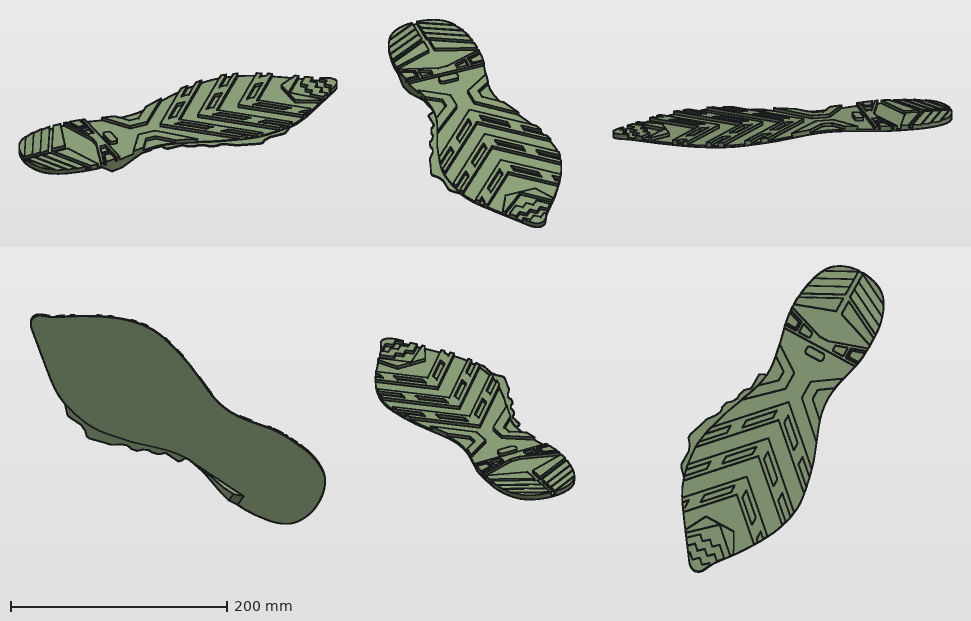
import cadquery as cq
import math

LENGTH = 320.0
BASE_THICKNESS = 2.0
TREAD_HEIGHT = 3.0
TOP = BASE_THICKNESS + TREAD_HEIGHT
WING_THICKNESS = 1.0
BEYOND = 96.0
SIDES = (-1, 1)

HEEL_TIP = (0.0, 0.0)
TOE_TIP = (0.0, LENGTH)
RIGHT_EDGE = [
    (14.5, 2.2), (26.5, 9.3), (33.5, 19.8), (37.8, 33.5), (40.3, 55.7), (39.0, 72.0), (34.2, 93.5), (30.7, 112.5),
    (30.0, 122.5), (33.0, 141.0), (38.7, 157.0), (46.0, 176.0), (51.0, 192.5), (54.7, 211.2), (54.7, 225.5),
    (52.5, 241.0), (47.0, 258.0), (36.5, 275.5), (23.0, 294.5), (11.5, 310.5), (5.5, 317.7),
]
LEFT_EDGE = [
    (-5.5, 317.7), (-9.5, 310.5), (-20.8, 294.5), (-36.5, 272.0), (-47.0, 252.8), (-53.0, 234.8), (-55.0, 218.8),
    (-53.0, 202.5), (-46.5, 175.0), (-35.8, 147.2), (-31.5, 132.0), (-30.0, 120.0), (-31.0, 107.2), (-35.0, 90.5),
    (-39.0, 72.3), (-40.0, 55.7), (-38.7, 34.2), (-34.2, 19.8), (-27.2, 9.3), (-14.5, 2.2),
]

WING_EDGE = [
    (51.0, 247.5), (57.5, 240.5), (59.0, 238.0), (59.0, 224.0), (61.5, 217.5), (65.3, 213.0), (65.3, 209.5),
    (61.0, 197.0), (59.0, 189.7), (53.0, 182.0), (51.2, 178.0), (51.2, 174.0), (51.8, 173.0), (50.2, 167.0),
    (46.0, 163.2), (43.5, 158.7), (43.5, 154.5), (41.5, 148.8), (36.8, 144.3), (36.8, 129.5),
    (35.0, 128.0), (31.7, 126.7),
]
WING_INNER_EDGE = [(25.5, 126.7), (25.5, 247.5)]

KEEL_INNER_TOP_X = 30.0
KEEL_INNER_BOTTOM_X = 31.7
KEEL_DEPTH = 7.7
KEEL_TIP_DEPTH = 1.0
KEEL_PROFILE = [
    (60.8, 0.0), (71.5, -KEEL_DEPTH), (82.5, -KEEL_DEPTH), (105.0, -KEEL_TIP_DEPTH), (116.5, -KEEL_TIP_DEPTH),
    (116.5, 0.0),
]

TOE_PAD_CENTRE_X = 0.3
ZIGZAG_CENTRE_X = 1.3
ZIGZAG_PITCH = 10.2
ZIGZAG_HEIGHT = 4.8
ZIGZAG_VALLEYS = (307.0, 297.5, 287.5)
TOE_PAD_BOTTOM = 270.5
TOE_PAD_HALF_BOTTOM = 14.7
TOE_PAD_FLARE = 1.9
TOE_PAD_V_SLOPE = 0.92
TOE_PAD_BRIDGE = 0.5

CHEVRON_APEXES = (238.7, 197.5, 158.7)
CHEVRON_HEIGHT = 19.2
CHEVRON_SLOPES = {-1: 0.91, 1: 1.08}
CHEVRON_POCKET_INSET = 5.5
CHEVRON_POCKET_HEIGHT = 7.7
CHEVRON_POCKET_SPANS = ((5.8, 26.0), (36.0, BEYOND))

BRACKET_INNER = (8.5, 130.0, 113.0)
BRACKET_OUTER = (18.0, 126.0, 116.5)
BRACKET_UPPER_SLOPE = 0.94
BRACKET_LOWER_SLOPE = 0.69

STUD_CENTRE = (0.5, 88.0)
STUD_LENGTH = 18.2
STUD_WIDTH = 7.7
STUD_CORNER = 3.0

BAR_TOP = 80.3
BAR_BOTTOM = 71.7
BAR_FLAT_HALF = 4.5
BAR_SLOPE = 0.33
BAR_POCKET_TOP = 77.5
BAR_POCKET_SPAN = (12.0, 23.5)
BAR_NOTCH_START = 26.0
BAR_RIM = 3.0
ISLAND_START = 27.8
ISLAND_TOP = 75.5
ISLAND_RIM = 5.0

BLADE_INNER_X = 3.0
BLADE_TOP = 43.5
BLADE_TOP_SLOPE = 0.35
BLADE_BOTTOM = 29.8
HEEL_SLOPE = 0.52
REAR_INNER_X = {-1: 2.0, 1: 3.0}
REAR_TOP = 25.5
REAR_LAST_STEP = 1.3
STEP_COUNT = 3
STEP_DROP = 0.8


def prism(points, bottom, top):
    """Vertical prism with a polygonal outline."""
    return cq.Workplane("XY").workplane(offset=bottom).polyline(points).close().extrude(top - bottom)


def tread(points):
    """Tread block standing on the base."""
    return prism(points, BASE_THICKNESS, TOP)


def sole_prism(bottom, top):
    """Vertical prism with the outline of the sole."""
    return (
        cq.Workplane("XY").workplane(offset=bottom)
        .spline([HEEL_TIP] + RIGHT_EDGE + [TOE_TIP] + LEFT_EDGE, periodic=True)
        .close()
        .extrude(top - bottom)
    )


def sloped_band(side, span, upper_y, lower_y, slope):
    """Parallelogram between two distances from the middle, rising outwards by the slope."""
    near, far = span
    return [
        (side * near, lower_y + slope * near),
        (side * far, lower_y + slope * far),
        (side * far, upper_y + slope * far),
        (side * near, upper_y + slope * near),
    ]


def zigzag(valley_y):
    """Left-to-right zigzag with three valleys and outer arms that run past the sole edge."""
    half = ZIGZAG_PITCH / 2
    rise = ZIGZAG_HEIGHT / half * BEYOND
    inner = [
        (ZIGZAG_CENTRE_X + i * half, valley_y + ZIGZAG_HEIGHT * (i % 2))
        for i in range(-2, 3)
    ]
    left_end = (inner[0][0] - BEYOND, valley_y + rise)
    right_end = (inner[-1][0] + BEYOND, valley_y + rise)
    return [left_end] + inner + [right_end]


def toe_tread():
    first, second, third = (zigzag(y) for y in ZIGZAG_VALLEYS)
    tip = tread(first)
    middle = tread(second + third[::-1])
    pad_reach = TOE_PAD_HALF_BOTTOM + BEYOND / TOE_PAD_FLARE
    pad = tread([
        (TOE_PAD_CENTRE_X - TOE_PAD_HALF_BOTTOM, TOE_PAD_BOTTOM),
        (TOE_PAD_CENTRE_X + TOE_PAD_HALF_BOTTOM, TOE_PAD_BOTTOM),
        (TOE_PAD_CENTRE_X + pad_reach, TOE_PAD_BOTTOM + BEYOND),
        (TOE_PAD_CENTRE_X - pad_reach, TOE_PAD_BOTTOM + BEYOND),
    ])
    notch_y = TOE_PAD_BOTTOM + TOE_PAD_BRIDGE
    notch = tread([
        (TOE_PAD_CENTRE_X, notch_y),
        (TOE_PAD_CENTRE_X + BEYOND, notch_y + TOE_PAD_V_SLOPE * BEYOND),
        (TOE_PAD_CENTRE_X - BEYOND, notch_y + TOE_PAD_V_SLOPE * BEYOND),
    ])
    return [tip, middle, pad.cut(notch)]


def chevron(apex_y):
    """V-shaped band with an inner pocket and an open outer pocket on each arm."""
    arms = []
    for side in SIDES:
        slope = CHEVRON_SLOPES[side]
        arm = tread(sloped_band(side, (0, BEYOND), apex_y, apex_y - CHEVRON_HEIGHT, slope))
        pocket_top = apex_y - CHEVRON_POCKET_INSET
        pocket_bottom = pocket_top - CHEVRON_POCKET_HEIGHT
        for span in CHEVRON_POCKET_SPANS:
            arm = arm.cut(tread(sloped_band(side, span, pocket_top, pocket_bottom, slope)))
        arms.append(arm)
    return arms[0].union(arms[1])


def bracket_line(side, corner_x, upper_y, lower_y):
    """Bent line around the waist, from its upper outer end to its lower outer end."""
    return [
        (side * (corner_x + BEYOND), upper_y + BRACKET_UPPER_SLOPE * BEYOND),
        (side * corner_x, upper_y),
        (side * corner_x, lower_y),
        (side * (corner_x + BEYOND), lower_y - BRACKET_LOWER_SLOPE * BEYOND),
    ]


def bracket(side):
    return tread(bracket_line(side, *BRACKET_INNER) + bracket_line(side, *BRACKET_OUTER)[::-1])


def stud():
    return (
        cq.Workplane("XY").workplane(offset=BASE_THICKNESS)
        .center(*STUD_CENTRE)
        .rect(STUD_LENGTH, STUD_WIDTH)
        .extrude(TREAD_HEIGHT)
        .edges("|Z").fillet(STUD_CORNER)
    )


def bar_lower_edge(x):
    """Height in Y of the bar's lower edge at a distance from the middle."""
    return BAR_BOTTOM - BAR_SLOPE * (x - BAR_FLAT_HALF)


def bar_window(side, span, top_y, rim):
    """Opening with a flat upper edge and a lower edge parallel to the bar's."""
    near, far = span
    return tread([
        (side * near, top_y),
        (side * far, top_y),
        (side * far, bar_lower_edge(far) + rim),
        (side * near, bar_lower_edge(near) + rim),
    ])


def heel_bar():
    bar = tread([
        (-BEYOND, BAR_TOP), (BEYOND, BAR_TOP),
        (BEYOND, bar_lower_edge(BEYOND)), (BAR_FLAT_HALF, BAR_BOTTOM),
        (-BAR_FLAT_HALF, BAR_BOTTOM), (-BEYOND, bar_lower_edge(BEYOND)),
    ])
    for side in SIDES:
        bar = bar.cut(bar_window(side, BAR_POCKET_SPAN, BAR_POCKET_TOP, BAR_RIM))
        bar = bar.cut(bar_window(side, (BAR_NOTCH_START, BEYOND), BAR_POCKET_TOP, BAR_RIM))
        bar = bar.union(bar_window(side, (ISLAND_START, BEYOND), ISLAND_TOP, ISLAND_RIM))
    return bar


def heel_blade(side):
    reach = BEYOND - BLADE_INNER_X
    return tread([
        (side * BLADE_INNER_X, BLADE_TOP),
        (side * BLADE_INNER_X, BLADE_BOTTOM),
        (side * BEYOND, BLADE_BOTTOM + HEEL_SLOPE * reach),
        (side * BEYOND, BLADE_TOP + BLADE_TOP_SLOPE * reach),
    ])


def rear_block(side):
    """Rear heel half whose top falls towards the heel in each step and then rises again."""
    inner_x = side * REAR_INNER_X[side]
    block = tread([
        (inner_x, REAR_TOP),
        (side * BEYOND, REAR_TOP + HEEL_SLOPE * (BEYOND - REAR_INNER_X[side])),
        (side * BEYOND, -BEYOND),
        (inner_x, -BEYOND),
    ])
    pitch = (REAR_TOP - REAR_LAST_STEP) / STEP_COUNT
    width = pitch * math.cos(math.atan(HEEL_SLOPE))
    for step in range(STEP_COUNT):
        plane = cq.Plane(
            origin=(inner_x, REAR_TOP - step * pitch, TOP),
            xDir=(side * HEEL_SLOPE, -1, 0),
            normal=(side, HEEL_SLOPE, 0),
        )
        drop = STEP_DROP * plane.yDir.z
        wedge = cq.Workplane(plane).polyline([(0, 0), (width, 0), (width, -drop)]).close()
        block = block.cut(wedge.extrude(BEYOND, both=True))
    return block


def wing():
    return prism(WING_EDGE + WING_INNER_EDGE, 0, WING_THICKNESS)


def keel():
    """Downward bulge between a slanted inner wall and the edge of the sole."""
    side_shape = cq.Workplane("YZ").polyline(KEEL_PROFILE).close().extrude(BEYOND)
    cross_section = (
        cq.Workplane("XZ")
        .polyline([
            (KEEL_INNER_TOP_X, 0), (BEYOND, 0),
            (BEYOND, -KEEL_DEPTH), (KEEL_INNER_BOTTOM_X, -KEEL_DEPTH),
        ])
        .close().extrude(-LENGTH)
    )
    return side_shape.intersect(cross_section).intersect(sole_prism(-KEEL_DEPTH, 0))


tread_blocks = toe_tread()
tread_blocks += [chevron(y) for y in CHEVRON_APEXES]
tread_blocks += [bracket(side) for side in SIDES]
tread_blocks += [stud(), heel_bar()]
tread_blocks += [heel_blade(side) for side in SIDES]
tread_blocks += [rear_block(side) for side in SIDES]

gaps = tread([(-BEYOND, -BEYOND), (BEYOND, -BEYOND), (BEYOND, LENGTH + BEYOND), (-BEYOND, LENGTH + BEYOND)])
for block in tread_blocks:
    gaps = gaps.cut(block)

result = sole_prism(0, TOP).cut(gaps).union(wing()).union(keel())